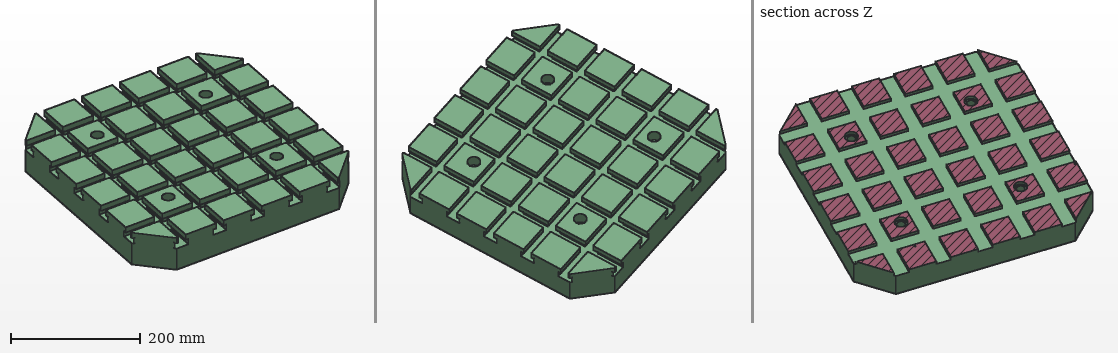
import cadquery as cq

plate_side = 400.0
plate_height = 60.0
corner_chamfer = 50.0

slot_count = 5
slot_pitch = 70.0
throat_width = 14.0
throat_depth = 10.0
undercut_width = 24.0
slot_depth = 20.0

hole_spacing = 200.0
hole_diameter = 13.0
counterbore_diameter = 20.0
counterbore_depth = 20.0


def make_plate():
    """Square plate with its four vertical corners cut off."""
    plate = cq.Workplane("XY").box(plate_side, plate_side, plate_height, centered=(True, True, False))
    return plate.edges("|Z").chamfer(corner_chamfer)


def make_slots_along_y():
    """Solid to remove for the row of T-slots that run the full length in Y."""
    undercut_height = slot_depth - throat_depth
    slot_floor = plate_height - slot_depth
    first_slot = -slot_pitch * (slot_count - 1) / 2

    slots = cq.Workplane("XY")
    for index in range(slot_count):
        slot_base = cq.Workplane("XY", origin=(first_slot + index * slot_pitch, 0, slot_floor))
        throat = slot_base.box(throat_width, plate_side, slot_depth, centered=(True, True, False))
        undercut = slot_base.box(undercut_width, plate_side, undercut_height, centered=(True, True, False))
        slots = slots.add(throat.union(undercut))
    return slots.combine()


def cut_mounting_holes(plate):
    """Drill the four through holes, counterbored from the top face."""
    return (
        plate.faces(">Z")
        .workplane(origin=(0, 0, plate_height))
        .rect(hole_spacing, hole_spacing, forConstruction=True)
        .vertices()
        .cboreHole(hole_diameter, counterbore_diameter, counterbore_depth)
    )


slots_along_y = make_slots_along_y()
slots_along_x = slots_along_y.rotate((0, 0, 0), (0, 0, 1), 90)

plate = cut_mounting_holes(make_plate())
result = plate.cut(slots_along_y).cut(slots_along_x)